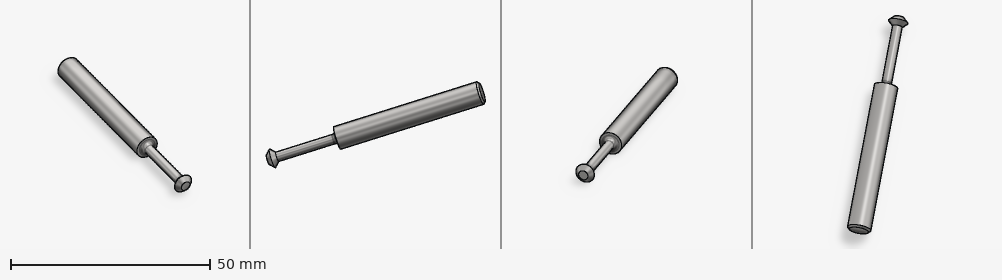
import cadquery as cq

total_length = 57.0
body_diameter = 6.0
body_length = 38.5
end_chamfer = 0.5
neck_fillet = 1.0
rod_diameter = 2.5
head_diameter = 5.0

body_radius = body_diameter / 2
rod_radius = rod_diameter / 2
head_radius = head_diameter / 2
cone_length = head_radius - rod_radius
head_rim_x = total_length - cone_length
head_start_x = head_rim_x - cone_length

profile = (
    cq.Workplane("XY")
    .moveTo(0, 0)
    .lineTo(0, body_radius - end_chamfer)
    .lineTo(end_chamfer, body_radius)
    .lineTo(body_length, body_radius)
    .lineTo(body_length, rod_radius + neck_fillet)
    .radiusArc((body_length + neck_fillet, rod_radius), -neck_fillet)
    .lineTo(head_start_x, rod_radius)
    .lineTo(head_rim_x, head_radius)
    .lineTo(total_length, rod_radius)
    .lineTo(total_length, 0)
    .close()
)

result = profile.revolve(360, (0, 0, 0), (1, 0, 0))